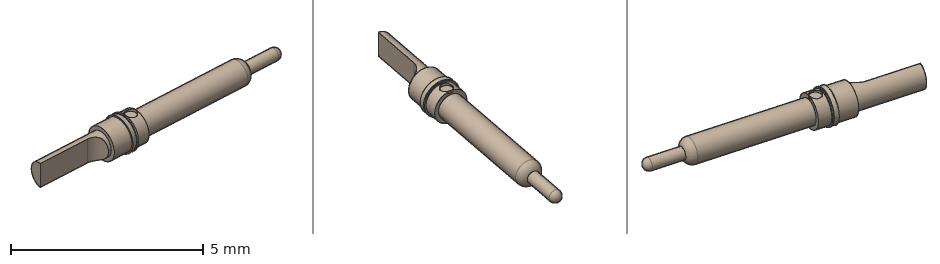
import cadquery as cq

length = 8.23

plunger_radius = 0.19
barrel_radius = 0.39
collar_radius = 0.51
ring_radius = 1.11 / 2
ring_waist_radius = 0.53

barrel_front = 7.06
collar_rear = 2.11
collar_front = 3.3
ring_rear = 2.71
ring_front = 2.905
ring_land = 0.05

barrel_round = 0.255

hole_radius = 0.18
hole_y = 3.11
hole_floor = 0.43

tail_shoulder = 2.01
tail_end_slant = 0.025


def cylinder(radius, rear, front):
    """Solid cylinder on the Y axis between two Y positions."""
    return cq.Workplane("XZ", origin=(0, rear, 0)).circle(radius).extrude(rear - front)


def plunger():
    """Thin front rod with a hemispherical tip."""
    rod = cylinder(plunger_radius, barrel_front - barrel_round, length - plunger_radius)
    tip = cq.Workplane("XY").sphere(plunger_radius).translate((0, length - plunger_radius, 0))
    return rod.union(tip)


def barrel():
    """Main cylinder with a rounded front edge."""
    return cylinder(barrel_radius, 0, barrel_front).faces(">Y").edges().fillet(barrel_round)


def ring():
    """Press-fit ring: a narrow front land, a step in, then a cone flaring to the rear edge."""
    land_rear = ring_front - ring_land
    return (
        cq.Workplane("XY")
        .moveTo(0, ring_rear)
        .lineTo(ring_radius, ring_rear)
        .lineTo(ring_waist_radius, land_rear)
        .lineTo(ring_radius, land_rear)
        .lineTo(ring_radius, ring_front)
        .lineTo(0, ring_front)
        .close()
        .revolve(360, (0, 0, 0), (0, 1, 0))
    )


def collar_hole():
    """Blind flat-bottomed hole entering the collar from above."""
    return (
        cq.Workplane("XY", origin=(0, hole_y, hole_floor))
        .circle(hole_radius)
        .extrude(ring_radius - hole_floor)
    )


def tail_cut():
    """Removes the +X half of the tail up to a quarter-round shoulder and slants the end."""
    shoulder_round = barrel_radius
    arc_start = tail_shoulder - shoulder_round
    half_height = barrel_radius
    half = (
        cq.Workplane("XY")
        .rect(barrel_radius, arc_start, centered=False)
        .extrude(half_height, both=True)
    )
    shoulder = (
        cq.Workplane("XY")
        .moveTo(barrel_radius, arc_start)
        .lineTo(0, arc_start)
        .radiusArc((barrel_radius, tail_shoulder), shoulder_round)
        .close()
        .extrude(half_height, both=True)
    )
    end_wedge = (
        cq.Workplane("XY")
        .polyline([(0, 0), (-barrel_radius, tail_end_slant), (-barrel_radius, 0)])
        .close()
        .extrude(half_height, both=True)
    )
    return half.union(shoulder).union(end_wedge)


collar = cylinder(collar_radius, collar_rear, collar_front)
body = barrel().union(plunger()).union(collar).union(ring())
result = body.cut(collar_hole()).cut(tail_cut())